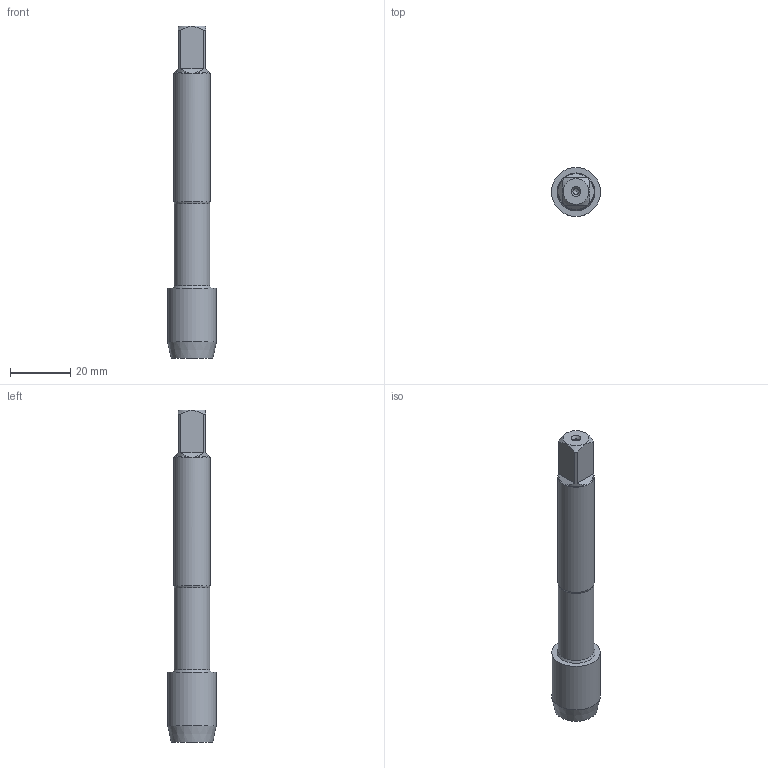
import cadquery as cq
import math

overall_length = 110.0
head_diameter = 16.21
head_length = 23.1
tip_diameter = 13.9
lead_taper_length = 5.45
shank_diameter = 12.19
neck_diameter = 11.79
shank_start_z = 51.1
shank_lower_chamfer_height = 0.6
shank_end_z = 94.6
shank_upper_chamfer_height = 0.2
root_flare_height = 0.8
root_flare_width = 0.4

square_width = 9.0
square_start_z = 95.9
square_top_diameter = 8.6
square_top_chamfer_height = 1.5

center_hole_diameter = 2.0
countersink_diameter = 3.2
countersink_angle = 60.0
center_hole_depth = 3.0
drill_point_depth = 0.6

head_radius = head_diameter / 2
tip_radius = tip_diameter / 2
shank_radius = shank_diameter / 2
neck_radius = neck_diameter / 2


def revolve_profile(profile):
    """Turn a closed (radius, z) outline about the Z axis."""
    return profile.close().revolve(360, (0, 0, 0), (0, 1, 0))


def make_cutting_head():
    """Cylinder with a tapered lead at the tip."""
    return revolve_profile(
        cq.Workplane("XZ")
        .lineTo(tip_radius, 0)
        .lineTo(head_radius, lead_taper_length)
        .lineTo(head_radius, head_length)
        .lineTo(0, head_length)
    )


def turn_shank():
    """Neck flared at its root, shank chamfered at both ends, and drive end with a tapered top."""
    return revolve_profile(
        cq.Workplane("XZ")
        .moveTo(0, head_length)
        .lineTo(neck_radius + root_flare_width, head_length)
        .lineTo(neck_radius, head_length + root_flare_height)
        .lineTo(neck_radius, shank_start_z)
        .lineTo(shank_radius, shank_start_z + shank_lower_chamfer_height)
        .lineTo(shank_radius, shank_end_z - shank_upper_chamfer_height)
        .lineTo(neck_radius, shank_end_z)
        .lineTo(neck_radius, overall_length - square_top_chamfer_height)
        .lineTo(square_top_diameter / 2, overall_length)
        .lineTo(0, overall_length)
    )


def make_square_envelope():
    """Square column on a 45 degree run-out that widens down to the full shank."""
    runout_height = shank_radius
    base_width = square_width + 2 * runout_height
    runout = (
        cq.Workplane("XY", origin=(0, 0, square_start_z - runout_height))
        .rect(base_width, base_width)
        .workplane(offset=runout_height)
        .rect(square_width, square_width)
        .loft(ruled=True)
    )
    column = (
        cq.Workplane("XY", origin=(0, 0, square_start_z))
        .rect(square_width, square_width)
        .extrude(overall_length - square_start_z)
    )
    lower_block = (
        cq.Workplane("XY", origin=(0, 0, head_length))
        .rect(base_width, base_width)
        .extrude(square_start_z - runout_height - head_length)
    )
    return lower_block.union(runout).union(column)


def make_center_hole():
    """Countersunk hole with a conical drill point, entering from the drive end."""
    hole_radius = center_hole_diameter / 2
    countersink_radius = countersink_diameter / 2
    countersink_half_angle = math.radians(countersink_angle / 2)
    countersink_depth = (countersink_radius - hole_radius) / math.tan(countersink_half_angle)
    hole_floor_z = overall_length - center_hole_depth
    return revolve_profile(
        cq.Workplane("XZ")
        .moveTo(0, overall_length)
        .lineTo(countersink_radius, overall_length)
        .lineTo(hole_radius, overall_length - countersink_depth)
        .lineTo(hole_radius, hole_floor_z)
        .lineTo(0, hole_floor_z - drill_point_depth)
    )


cutting_head = make_cutting_head()
shank = turn_shank().intersect(make_square_envelope()).cut(make_center_hole())

result = cq.Compound.makeCompound([cutting_head.val(), shank.val()])